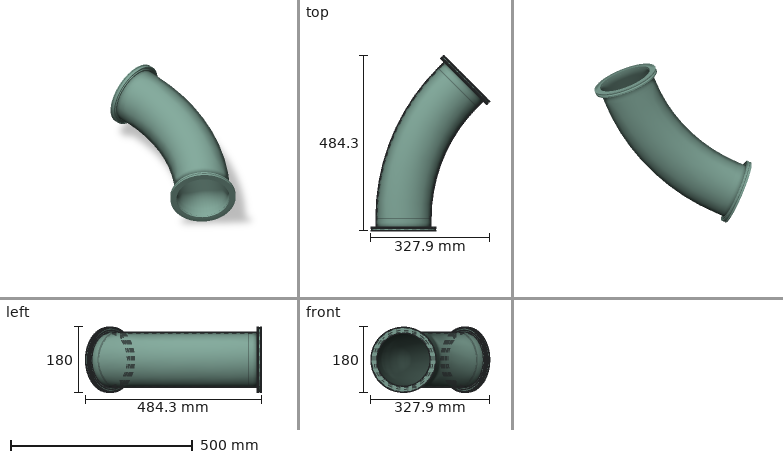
import cadquery as cq
import math

tube_outer_diameter = 152.4
tube_inner_diameter = 146.0
bend_angle = 45.0
bend_angle_radians = math.radians(bend_angle)
bend_radius = 509.0
straight_length = 35.6

flange_diameter = 180.0
flange_thickness = 12.0
flange_bore = 146.5
back_chamfer = 0.5
socket_diameter = 153.0
socket_floor = 6.0

clamp_groove_bottom_diameter = 175.0
clamp_groove_center = 4.75

ring_groove_inner_diameter = 163.0
ring_groove_outer_diameter = 175.0
ring_groove_depth = 2.5


def flange():
    """Flange with its sealing face on the XZ plane and its back toward +Y."""
    rim_radius = flange_diameter / 2
    bore_radius = flange_bore / 2
    socket_radius = socket_diameter / 2
    clamp_groove_bottom = clamp_groove_bottom_diameter / 2
    clamp_groove_radius = rim_radius - clamp_groove_bottom
    ring_inner_radius = ring_groove_inner_diameter / 2
    ring_outer_radius = ring_groove_outer_diameter / 2
    ring_floor = flange_thickness - ring_groove_depth
    return (
        cq.Workplane("XY")
        .moveTo(bore_radius, 0)
        .lineTo(rim_radius, 0)
        .lineTo(rim_radius, clamp_groove_center - clamp_groove_radius)
        .threePointArc(
            (clamp_groove_bottom, clamp_groove_center),
            (rim_radius, clamp_groove_center + clamp_groove_radius),
        )
        .lineTo(rim_radius, flange_thickness - back_chamfer)
        .lineTo(rim_radius - back_chamfer, flange_thickness)
        .lineTo(ring_outer_radius, flange_thickness)
        .lineTo(ring_outer_radius, ring_floor)
        .lineTo(ring_inner_radius, ring_floor)
        .lineTo(ring_inner_radius, flange_thickness)
        .lineTo(socket_radius, flange_thickness)
        .lineTo(socket_radius, socket_floor)
        .lineTo(bore_radius, socket_floor)
        .close()
        .revolve(360, (0, 0, 0), (0, 1, 0))
    )


def point_on_bend(angle):
    """Point of the tube centerline after turning by an angle in radians toward +X."""
    return (
        bend_radius * (1 - math.cos(angle)),
        straight_length + bend_radius * math.sin(angle),
    )


def point_past_bend(distance):
    """Point of the centerline on the far straight, at a distance past the bend end."""
    end_x, end_y = point_on_bend(bend_angle_radians)
    return (
        end_x + distance * math.sin(bend_angle_radians),
        end_y + distance * math.cos(bend_angle_radians),
    )


def elbow_tube():
    """Tube with two straight ends and a bend between them, seated on both socket floors."""
    tube_straight_length = straight_length - socket_floor
    centerline = (
        cq.Workplane("XY")
        .moveTo(0, socket_floor)
        .lineTo(*point_on_bend(0))
        .threePointArc(point_on_bend(bend_angle_radians / 2), point_on_bend(bend_angle_radians))
        .lineTo(*point_past_bend(tube_straight_length))
    )
    return (
        cq.Workplane("XZ", origin=(0, socket_floor, 0))
        .circle(tube_outer_diameter / 2)
        .circle(tube_inner_diameter / 2)
        .sweep(centerline)
    )


far_face_x, far_face_y = point_past_bend(straight_length)

flange_placements = [
    (0, (0, 0, 0)),
    (180 - bend_angle, (far_face_x, far_face_y, 0)),
]

tube = elbow_tube()
flanges = [
    flange().rotate((0, 0, 0), (0, 0, 1), turn).translate(face_center)
    for turn, face_center in flange_placements
]

result = cq.Compound.makeCompound([tube.val(), *[body.val() for body in flanges]])